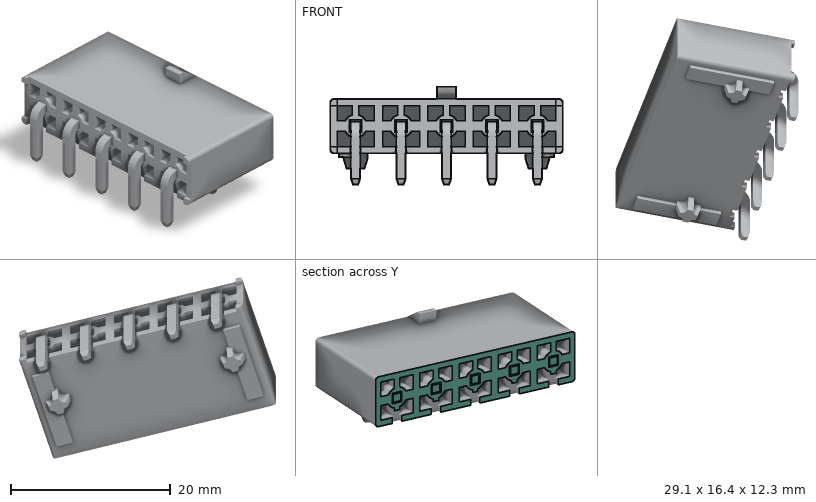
import cadquery as cq
import math


housing_length = 29.15
housing_depth = 14.79
housing_height = 6.84
edge_radius = 0.5
ear_size = 0.86
ear_length = 0.5
mid_height = housing_height / 2

pin_count = 5
pin_pitch = 5.7
pin_xs = [(i - (pin_count - 1) / 2) * pin_pitch for i in range(pin_count)]

pin_size = 1.15
pin_drop = 3.9
pin_tip_size = 0.65
pin_tip_length = 0.7
pin_bend_radius = 1.83
pin_anchor_depth = 4.0
pin_front = -ear_length - pin_size

pocket_field_width = 4.64
pocket_outer_half_height = mid_height - ear_size
pocket_inner_half_height = 0.65
web_width = 0.86
boss_radius = 1.44
pocket_depth = 4.0

pin_funnel_size = 1.55
pin_funnel_depth = 0.2
relief_width = 1.3
relief_foot_depth = 0.63

latch_width = 2.42
latch_height = 1.54
latch_top_start = 2.45
latch_top_end = 3.16
latch_base_end = 2.97

rail_height = 0.46
rail_front = 1.97
rail_length = 10.85
rail_outer_x = 13.5
peg_x = pin_xs[-1]
peg_y = 6.24
peg_corner_reach = 1.12
peg_height = 1.9
rail_width = rail_outer_x - peg_x
rib_reach = 1.52
rib_width = 0.76
rib_straight_height = 0.63


def box(x_min, x_max, y_min, y_max, z_min, z_max):
    """Axis-aligned box given by its limits."""
    size = (x_max - x_min, y_max - y_min, z_max - z_min)
    return cq.Workplane("XY").box(*size, centered=False).translate((x_min, y_min, z_min))


def along_y(width, height, y_start, y_end, x, z):
    """Bar running along Y with its section centred on (x, z)."""
    return box(x - width / 2, x + width / 2, y_start, y_end, z - height / 2, z + height / 2)


def make_housing():
    """Rounded block with a short ear at each corner of the pin side."""
    half_length = housing_length / 2
    block = box(-half_length, half_length, -ear_length, housing_depth, 0, housing_height)
    block = block.edges("|Y").fillet(edge_radius)
    ear_gap_width = housing_length - 2 * ear_size
    ear_gap_height = housing_height - 2 * ear_size
    across = along_y(ear_gap_width, housing_height, -ear_length, 0, 0, mid_height)
    upright = along_y(housing_length, ear_gap_height, -ear_length, 0, 0, mid_height)
    return block.cut(across).cut(upright)


def make_boss(x):
    """Cylinder of housing material left standing around a pin."""
    axis_start = cq.Vector(x, 0, mid_height)
    return cq.Workplane(cq.Solid.makeCylinder(boss_radius, pocket_depth, axis_start, cq.Vector(0, 1, 0)))


def make_pockets(x):
    """Four corner pockets around a pin, and the ramped relief behind its leg."""
    field_height = 2 * pocket_outer_half_height
    pockets = along_y(pocket_field_width, field_height, 0, pocket_depth, x, mid_height)
    bar_height = 2 * pocket_inner_half_height
    pockets = pockets.cut(along_y(pocket_field_width, bar_height, 0, pocket_depth, x, mid_height))
    pockets = pockets.cut(along_y(web_width, field_height, 0, pocket_depth, x, mid_height))
    boss_bottom = mid_height - boss_radius
    relief = (
        cq.Workplane("YZ", origin=(x, 0, 0))
        .lineTo(relief_foot_depth, 0)
        .lineTo(0, boss_bottom)
        .close()
        .extrude(relief_width / 2, both=True)
    )
    return pockets.cut(make_boss(x)).union(relief)


def make_pin_funnel(x):
    """Square lead-in that narrows onto the pin."""
    return (
        cq.Workplane("XZ", origin=(x, 0, mid_height))
        .rect(pin_funnel_size, pin_funnel_size)
        .workplane(offset=-pin_funnel_depth)
        .rect(pin_size, pin_size)
        .loft(combine=True)
    )


def make_pin(x):
    """Square pin that leaves the housing, bends down and ends in a taper."""
    bend_y = pin_front + pin_bend_radius
    pin_top = mid_height + pin_size / 2
    bend_z = pin_top - pin_bend_radius
    inner_radius = pin_bend_radius - pin_size
    taper_z = pin_tip_length - pin_drop
    diagonal = math.sqrt(0.5)
    bent_bar = (
        cq.Workplane("YZ")
        .moveTo(pin_anchor_depth, pin_top)
        .lineTo(bend_y, pin_top)
        .threePointArc(
            (bend_y - pin_bend_radius * diagonal, bend_z + pin_bend_radius * diagonal),
            (pin_front, bend_z),
        )
        .lineTo(pin_front, taper_z)
        .lineTo(pin_front + pin_size, taper_z)
        .lineTo(pin_front + pin_size, bend_z)
        .threePointArc(
            (bend_y - inner_radius * diagonal, bend_z + inner_radius * diagonal),
            (bend_y, pin_top - pin_size),
        )
        .lineTo(pin_anchor_depth, pin_top - pin_size)
        .close()
        .extrude(pin_size / 2, both=True)
    )
    tip = (
        cq.Workplane("XY", origin=(0, pin_front + pin_size / 2, taper_z))
        .rect(pin_size, pin_size)
        .workplane(offset=-pin_tip_length)
        .rect(pin_tip_size, pin_tip_size)
        .loft(combine=True)
    )
    return bent_bar.union(tip).translate((x, 0, 0))


def make_latch():
    """Ramp rising from the back edge to an undercut front face."""
    top = housing_height + latch_height
    return (
        cq.Workplane("YZ")
        .moveTo(housing_depth, housing_height)
        .lineTo(housing_depth - latch_top_start, top)
        .lineTo(housing_depth - latch_top_end, top)
        .lineTo(housing_depth - latch_base_end, housing_height)
        .close()
        .extrude(latch_width / 2, both=True)
    )


def make_rail_and_peg():
    """Standoff rail and ribbed peg under the +X end of the housing."""
    rail = box(
        rail_outer_x - rail_width, rail_outer_x, rail_front, rail_front + rail_length, -rail_height, 0
    )
    half_rib = rib_width / 2
    post = cq.Workplane("XY").rect(2 * peg_corner_reach, 2 * peg_corner_reach).extrude(-peg_height)
    scoops = (
        cq.Workplane("XY")
        .rect(2 * peg_corner_reach, 2 * peg_corner_reach, forConstruction=True)
        .vertices()
        .circle(peg_corner_reach - half_rib)
        .extrude(-peg_height)
    )
    post = post.cut(scoops)
    rib = (
        cq.Workplane("XZ")
        .moveTo(-rib_reach, 0)
        .lineTo(rib_reach, 0)
        .lineTo(rib_reach, -rib_straight_height)
        .lineTo(peg_corner_reach, -peg_height)
        .lineTo(-peg_corner_reach, -peg_height)
        .lineTo(-rib_reach, -rib_straight_height)
        .close()
        .extrude(half_rib, both=True)
    )
    crossing_rib = rib.rotate((0, 0, 0), (0, 0, 1), 90)
    peg = post.union(rib).union(crossing_rib).translate((peg_x, peg_y, 0))
    return rail.union(peg)


header = make_housing()
for pin_x in pin_xs:
    header = header.cut(make_pockets(pin_x))
    header = header.cut(make_pin_funnel(pin_x))
    header = header.union(make_pin(pin_x))

rail_and_peg = make_rail_and_peg()
header = header.union(rail_and_peg).union(rail_and_peg.mirror("YZ"))
result = header.union(make_latch())